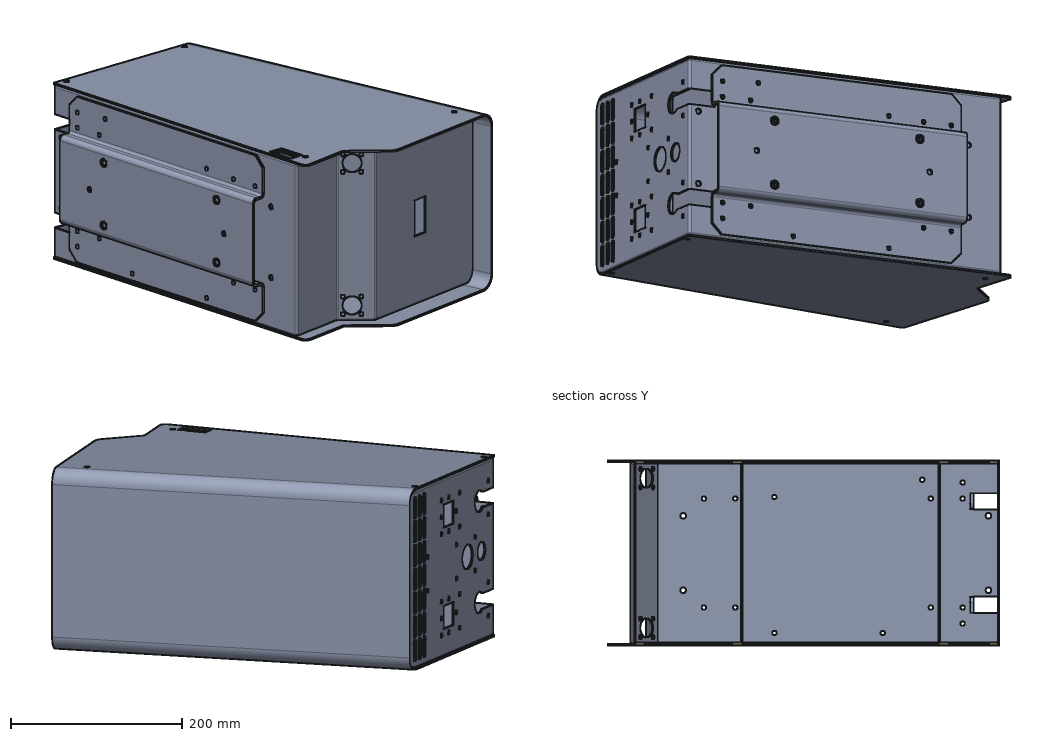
import cadquery as cq
import math

half_height = 108.3
sheet = 2.05
eps = 4.5
fit = 0.5

rear_depth = 231.5
front_top_x = 430.5
front_top_y = 298.5
nose_x = 459.0
notch_x = 418.0
notch_y = 71.0
slope = (front_top_y - rear_depth) / front_top_x
nose_y = front_top_y - (nose_x - front_top_x) / slope
foot_x = notch_x + slope * notch_y
cover_bend = 17.5
nose_radius = 15.0
notch_radius = 4.5
foot_radius = 7.5

chassis_half = half_height - sheet
chassis_bend = 2.7
flange_width = 12.0
plate_end_x = 413.5
panel_notch_x = 401.5
panel_notch_y = 76.0
panel_nose_x = 432.0
panel_nose_y = panel_notch_y + (panel_nose_x - panel_notch_x) * (nose_y - notch_y) / (nose_x - notch_x)
panel_top_y = front_top_y + 23.0
panel_top_x = panel_nose_x - slope * (panel_top_y - panel_nose_y)

tray_start, tray_end = 69.0, 302.0
tray_top = 171.2
tray_flange = 10.0
tray_hole_radius = 13.0

rail_start, rail_end = 29.8, 358.0
rail_half = 101.5
rail_depth = 18.5
rail_sheet = 2.7
rail_inner_bend = 3.0
rail_outer_bend = rail_inner_bend + rail_sheet
rail_web_half = 54.5
rail_chamfer = 12.5
large_hole = 6.5
insert_diameter, insert_bore, insert_depth = 10.0, 6.0, 3.5

vent_length, vent_width = 25.5, 8.0
vent_pitch_z, vent_pitch_y = 28.5, 13.0
vent_rows, vent_columns = 7, 3
vent_centre_y = 203.8
socket_z = 60.5
socket_y = 123.5
socket_side = 27.5
socket_hole_pitch = 20.0
small_hole = 5.0
socket_edge_hole_rows = [94.0, 15.5]
centre_hole_rows = [182.0, 102.5, 51.7]
keyhole_y = 40.0
keyhole_radius = 13.0
keyhole_slot = 19.0
keyhole_slot_end = 34.5
cable_holes = [(72.5, 14.5), (34.5, 11.0)]

window_x, window_y = 379.5, 15.0
window_length, window_depth = 35.3, 19.0
window_ledge = 2.7
tab_length, tab_depth = 46.0, 29.8


def block(x0, x1, y0, y1, z0, z1):
    return cq.Workplane("XY").box(x1 - x0, y1 - y0, z1 - z0, centered=False).translate((x0, y0, z0))


def prism(points, half):
    """Extrude an XY outline symmetrically about Z = 0."""
    return cq.Workplane("XY").polyline(points).close().extrude(half, both=True)


def round_corner(body, x, y, radius):
    """Round the edge parallel to Z that passes through (x, y)."""
    return body.edges(cq.NearestToPointSelector((x, y, 0))).fillet(radius)


def round_back(body, mid_x, mid_y, half, radius):
    """Round the upper and lower edges along the sloping back."""
    for side in (1, -1):
        body = body.edges(cq.NearestToPointSelector((mid_x, mid_y, side * half))).fillet(radius)
    return body


def pins_x(points, diameter, x0, x1):
    """Round cutters along X at (Y, Z) points."""
    return cq.Workplane("YZ", origin=(x0, 0, 0)).pushPoints(points).circle(diameter / 2).extrude(x1 - x0)


def pins_y(points, diameter, y0, y1):
    """Round cutters along Y at (X, Z) points."""
    return cq.Workplane("XZ", origin=(0, y1, 0)).pushPoints(points).circle(diameter / 2).extrude(y1 - y0)


def mirrored(points):
    """Each (coordinate, Z) point together with its twin below Z = 0."""
    return [(a, side * z) for a, z in points for side in (1, -1)]


plate_screws_small = mirrored([(43.0, 63.5), (80.0, 63.5), (308.5, 63.5), (345.2, 63.5), (43.0, 82.5)])
plate_screws_single = [(90.0, 85.5), (263.0, 65.5), (136.5, -93.5), (263.0, -93.5)]
plate_screws_large = mirrored([(13.0, 43.5), (369.5, 43.5)])
web_holes = [(80.0, 0), (308.5, 0)]
insert_points = mirrored([(104.0, 38.5), (296.0, 38.5)])


def cover_outside():
    body = prism(
        [
            (0, 0),
            (0, rear_depth),
            (front_top_x, front_top_y),
            (nose_x, nose_y),
            (notch_x, notch_y),
            (foot_x, 0),
        ],
        half_height,
    )
    body = round_corner(body, nose_x, nose_y, nose_radius)
    body = round_corner(body, notch_x, notch_y, notch_radius)
    body = round_corner(body, foot_x, 0, foot_radius)
    return round_back(body, front_top_x / 2, (rear_depth + front_top_y) / 2, half_height, cover_bend)


def cover_inside():
    """Space within the cover, running out through its three open sides."""
    back_offset = sheet * math.hypot(1, slope)

    def back_y(x):
        return rear_depth - back_offset + slope * x

    x0, x1 = -eps, nose_x + eps
    body = prism([(x0, -eps), (x0, back_y(x0)), (x1, back_y(x1)), (x1, -eps)], chassis_half)
    mid_x = (x0 + x1) / 2
    return round_back(body, mid_x, back_y(mid_x), chassis_half, cover_bend - sheet)


def make_chassis():
    outline = [
        (0, 0),
        (0, panel_top_y),
        (panel_top_x, panel_top_y),
        (panel_nose_x, panel_nose_y),
        (panel_notch_x, panel_notch_y),
        (plate_end_x, 0),
    ]

    def inset(distance, half):
        return cq.Workplane("XY").polyline(outline).close().offset2D(-distance).extrude(half, both=True)

    shell = prism(outline, chassis_half).edges("not >Y").fillet(chassis_bend)
    shell = shell.cut(inset(sheet, chassis_half - sheet))
    return shell.cut(inset(flange_width, chassis_half + eps))


def make_window_tab():
    x0 = window_x - tab_length / 2
    return block(x0, x0 + tab_length, sheet, tab_depth, chassis_half - sheet, chassis_half)


def tray_block(margin, half):
    """Tray outline grown by a margin on the three sides away from the plate."""
    return block(tray_start - margin, tray_end + margin, sheet, tray_top + margin, -half, half)


def make_tray():
    tray = tray_block(tray_flange, chassis_half)
    tray = tray.cut(tray_block(tray_flange, chassis_half - sheet))
    tray = tray.union(tray_block(0, chassis_half))
    tray = tray.cut(tray_block(-sheet, chassis_half))
    hole = pins_x([(socket_y, socket_z)], 2 * tray_hole_radius, tray_start - eps, tray_start + eps)
    return tray.cut(hole)


def rail_section(web_half, depth, outer_bend):
    """Channel of the hat section, rounded where the webs meet its base."""
    return (
        block(rail_start, rail_end, -depth, 0, -web_half, web_half)
        .edges("|X and <Y")
        .fillet(outer_bend)
    )


def make_rail():
    flange = block(rail_start, rail_end, -rail_sheet, 0, -rail_half, rail_half)
    flange = flange.edges("|Y").chamfer(rail_chamfer)
    rail = flange.union(rail_section(rail_web_half, rail_depth, rail_outer_bend))
    roots = cq.selectors.BoxSelector(
        (rail_start - eps, -rail_sheet - fit, -rail_web_half - fit),
        (rail_end + eps, -rail_sheet + fit, rail_web_half + fit),
    )
    rail = rail.edges("|X").edges(roots).fillet(rail_inner_bend)
    inner_half = rail_web_half - rail_sheet
    rail = rail.cut(rail_section(inner_half, rail_depth - rail_sheet, rail_inner_bend))
    mouths = cq.selectors.BoxSelector(
        (rail_start - eps, -fit, -inner_half - fit), (rail_end + eps, fit, inner_half + fit)
    )
    rail = rail.edges("|X").edges(mouths).fillet(rail_outer_bend)

    base_inside = rail_sheet - rail_depth
    rail = rail.union(pins_y(insert_points, insert_diameter, base_inside, base_inside + insert_depth))
    rail = rail.cut(pins_y(insert_points, insert_bore, -rail_depth - eps, 0))
    recess = rail_sheet / 2
    rail = rail.cut(pins_y(insert_points, insert_diameter, -rail_depth - eps, -rail_depth + recess))
    return rail.cut(pins_y(web_holes, large_hole, -rail_depth - eps, base_inside + eps))


def cut_rear_panel(body):
    depth = sheet + eps
    rear = cq.Workplane("YZ", origin=(-eps, 0, 0))
    cut_length = depth + eps

    vents = (
        rear.center(vent_centre_y, 0)
        .rarray(vent_pitch_y, vent_pitch_z, vent_columns, vent_rows)
        .slot2D(vent_length, vent_width, 90)
        .extrude(cut_length)
    )
    sockets = (
        rear.pushPoints(mirrored([(socket_y, socket_z)]))
        .rect(socket_side, socket_side)
        .extrude(cut_length)
    )
    body = body.cut(vents).cut(sockets)

    pitch = socket_hole_pitch
    holes = mirrored([(y, pitch) for y in centre_hole_rows])
    for side in (1, -1):
        centre_z = side * socket_z
        holes += [(socket_y + pitch, centre_z), (socket_y - pitch, centre_z)]
        holes += [
            (y, centre_z + step)
            for y in [socket_y + pitch, socket_y] + socket_edge_hole_rows
            for step in (pitch, -pitch)
        ]
    body = body.cut(pins_x(holes, small_hole, -eps, depth))
    for y, radius in cable_holes:
        body = body.cut(pins_x([(y, 0)], 2 * radius, -eps, depth))

    half_slot = keyhole_slot / 2
    for side in (1, -1):
        z0 = side * socket_z - half_slot
        z1 = side * socket_z + half_slot
        body = body.cut(pins_x([(keyhole_y, side * socket_z)], 2 * keyhole_radius, -eps, depth))
        body = body.cut(block(-eps, depth, 0, keyhole_y, z0, z1))
        body = body.cut(block(-eps, keyhole_slot_end, 0, sheet, z0, z1))
    return body


def cut_plate(body):
    for points, diameter in (
        (plate_screws_small, small_hole),
        (plate_screws_single, small_hole),
        (plate_screws_large, large_hole),
    ):
        body = body.cut(pins_y(points, diameter, -rail_sheet - fit, sheet + fit))
    return body


def cut_front_panel(body):
    connector_x, connector_z = 413.5, 87.5
    connector_radius, screw_pitch = 11.2, 21.5
    run_x, run_y = panel_nose_x - panel_notch_x, panel_nose_y - panel_notch_y
    connector_y = panel_notch_y + (connector_x - panel_notch_x) * run_y / run_x
    face = cq.Plane(origin=(connector_x, connector_y, 0), xDir=(0, 0, 1), normal=(run_y, -run_x, 0))
    for side in (1, -1):
        spot = cq.Workplane(face).center(side * connector_z, 0)
        body = body.cut(spot.circle(connector_radius).extrude(eps, both=True))
        screws = spot.rect(screw_pitch, screw_pitch, forConstruction=True).vertices()
        body = body.cut(screws.circle(small_hole / 2).extrude(eps, both=True))

    display_bottom, display_top, display_half = 183.0, 203.8, 22.2
    display = block(panel_notch_x, nose_x, display_bottom, display_top, -display_half, display_half)
    return body.cut(display)


def cut_cover(body):
    head, shank = 6.0, 3.0
    cover_screws = [(6.0, 204.5), (6.0, 15.0), (400.5, 265.5), (404.0, 23.5)]
    for x, y in cover_screws:
        spot = cq.Workplane("XY").center(x, y)
        for side in (1, -1):
            head_cut = spot.workplane(offset=side * chassis_half).circle(head / 2).extrude(side * eps)
            shank_start = side * (chassis_half - 2 * sheet)
            shank_cut = spot.workplane(offset=shank_start).circle(shank / 2).extrude(side * eps)
            body = body.cut(head_cut).cut(shank_cut)

    window = cq.Workplane("XY", origin=(window_x, window_y, chassis_half))
    outer = window.rect(window_length, window_depth).extrude(eps)
    ledge = 2 * window_ledge
    inner = window.rect(window_length - ledge, window_depth - ledge).extrude(-eps)
    return body.cut(outer).cut(inner)


inside = cover_inside()
cover = cover_outside().cut(inside)
chassis = make_chassis().intersect(inside).union(make_window_tab())
chassis = cut_front_panel(cut_rear_panel(chassis))
result = cover.union(chassis).union(make_tray()).union(make_rail())
result = cut_cover(cut_plate(result))